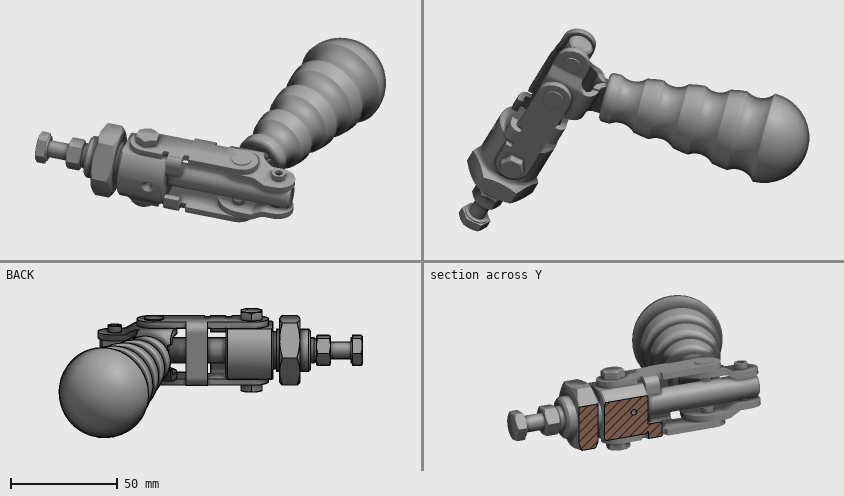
import cadquery as cq
import math

roll_angle = -11.7
handle_angle = 15.0

diagonal = math.sqrt(0.5)

spindle_head_end = 4.6
washer_face_end = 5.3
jam_nut_start = 15.0
jam_nut_end = 21.7
neck_start = 24.5
lock_nut_start = 29.3
lock_nut_end = 39.2
thread_end = 40.5
body_start = 42.2
body_end = 64.3
plunger_end = 123.7

small_hex = 13.0
lock_nut_hex = 30.0
hex_face_ratio = 0.98
spindle_radius = 4.0
plunger_radius = 6.0
thread_radius = 10.0
undercut_radius = 8.9
body_radius = 15.0
rod_chamfer = 1.0
body_chamfer = 0.7

sheet = 3.0
plate_inner = 12.2
plate_outer = plate_inner + sheet
plate_half_width = 8.0
front_pivot = 52.3
rear_pivot = 98.2
bend_inner = 1.5
bend_outer = bend_inner + sheet
bend_height = plate_outer - bend_outer
bridge_start, bridge_end = 72.9, 83.2
bridge_outer = 12.9
tab_start, tab_end = 64.5, 71.5
tab_outer = 11.0
tab_tip = 7.1
relief_width = 3.0
relief_floor = -5.0
relief_fillet = 0.9

link_pivot = 116.7
lever_outer = plate_inner
lever_inner = lever_outer - sheet
lever_drop = 3.1
jog_start, jog_end = 106.4, 111.8
jog_upper_bend = 5.9
jog_lower_bend = 2.7
nose_radius = 12.6
crotch_radius = 5.0
strap_left = -12.0
strap_right = 4.0
strap_shift = 1.3
strap_end = 31.5
curl_start = 11.7
curl_radius = lever_outer / 2

bolt_hex = 10.0
bolt_head_height = 4.0
rivet_radius = 4.6
rivet_head = 0.6
inner_rivet_radius = 2.9
inner_rivet_end = 6.7
link_head_radius = 4.0
link_pin_radius = 3.1
link_pin_top = 12.0
link_pin_bore = 2.0
link_pin_bore_depth = 2.9
oil_hole_x = 57.2
oil_hole_radius = 3.0
oil_hole_drill_radius = 1.3
oil_cone_depth = 1.7
oil_hole_depth = 5.7

grip_offset = -2.7
grip_base = 22.5
grip_base_radius = 9.5
grip_land = 3.6
ring_pitch = 19.7
ring_growth = 2.5
ring_count = 4
first_crest, first_crest_radius = 28.0, 11.9
valley_gap, valley_radius_drop = 5.0, 1.6
band_gap, band_radius_gain = 11.9, 1.3
band_bulge = 0.21
dome_radius = 21.5
dome_centre = 100.1
ridge_fillet = 0.7


def rod(start, end, radius):
    """Cylinder on the X axis."""
    return cq.Workplane("YZ", origin=(start, 0, 0)).circle(radius).extrude(end - start)


def pin(x, bottom, top, radius):
    """Cylinder parallel to Z, centred over the plunger axis."""
    return cq.Workplane("XY", origin=(x, 0, bottom)).circle(radius).extrude(top - bottom)


def chamfered_hex(across_flats, height, both_ends):
    """Hexagonal prism along Z with corners on the Y axis and conically trimmed ends."""
    corner = across_flats / math.sqrt(3)
    face = hex_face_ratio * across_flats / 2
    trim = (corner - face) / math.sqrt(3)
    cone = cq.Workplane("XZ").polyline([
        (0, 0), (corner, 0), (corner, height - trim), (face, height), (0, height),
    ]).close().revolve(360, (0, 0, 0), (0, 1, 0))
    prism = cq.Workplane("XY").polygon(6, 2 * corner).extrude(height)
    hexagon = prism.rotate((0, 0, 0), (0, 0, 1), 90).intersect(cone)
    if both_ends:
        hexagon = hexagon.intersect(hexagon.mirror("XY").translate((0, 0, height)))
    return hexagon


def axial_hex(start, end, across_flats, both_ends=True):
    """Chamfered hexagon on the X axis with corners on the Y axis."""
    hexagon = chamfered_hex(across_flats, end - start, both_ends)
    return hexagon.rotate((0, 0, 0), (0, 1, 0), -90).translate((end, 0, 0))


def plunger_and_body():
    """Spindle, nuts, threaded neck, flatted body and plunger rod."""
    parts = rod(spindle_head_end, washer_face_end, plunger_radius)
    parts = parts.union(axial_hex(0, spindle_head_end, small_hex, both_ends=False))
    parts = parts.union(rod(washer_face_end, jam_nut_end, spindle_radius))
    parts = parts.union(axial_hex(jam_nut_start, jam_nut_end, small_hex))
    plunger = rod(jam_nut_end, plunger_end, plunger_radius).faces("<X or >X").chamfer(rod_chamfer)
    parts = parts.union(plunger)
    parts = parts.union(rod(neck_start, thread_end, thread_radius).faces("<X").chamfer(rod_chamfer))
    parts = parts.union(rod(thread_end, body_start, undercut_radius))
    parts = parts.union(axial_hex(lock_nut_start, lock_nut_end, lock_nut_hex))
    body = rod(body_start, body_end, body_radius).faces("<X or >X").chamfer(body_chamfer)
    flats = cq.Workplane("XY").box(2 * body_end, 2 * body_radius, 2 * plate_inner)
    return parts.union(body.intersect(flats)).cut(oil_hole())


def oil_hole():
    """Countersunk hole entering the body from the -Y side."""
    return cq.Workplane("XY", origin=(oil_hole_x, -body_radius, 0)).polyline([
        (0, 0), (oil_hole_radius, 0), (oil_hole_drill_radius, oil_cone_depth),
        (oil_hole_drill_radius, oil_hole_depth), (0, oil_hole_depth),
    ]).close().revolve(360, (0, 0, 0), (0, 1, 0))


def flange(start, end, outer_face, tip):
    """Strip that bends down from the +Z plate; outer_face is its Y, tip its lower edge."""
    side = math.copysign(1, outer_face)
    bend_y = outer_face - side * bend_outer
    inner_face = outer_face - side * sheet

    def on_bend(radius):
        return bend_y + side * radius * diagonal, bend_height + radius * diagonal

    profile = (
        cq.Workplane("YZ", origin=(start, 0, 0))
        .moveTo(0, plate_inner)
        .lineTo(bend_y, plate_inner)
        .threePointArc(on_bend(bend_inner), (inner_face, bend_height))
        .lineTo(inner_face, tip)
        .lineTo(outer_face, tip)
        .lineTo(outer_face, bend_height)
        .threePointArc(on_bend(bend_outer), (bend_y, plate_outer))
        .lineTo(0, plate_outer)
        .close()
    )
    return profile.extrude(end - start)


def upper_plate():
    """Side plate on the +Z side with its front tab and its half of the rear bridge."""
    length = rear_pivot - front_pivot
    plate = (
        cq.Workplane("XY", origin=((front_pivot + rear_pivot) / 2, 0, plate_inner))
        .slot2D(length + 2 * plate_half_width, 2 * plate_half_width)
        .extrude(sheet)
    )
    relief_depth = relief_floor + plate_half_width
    for start in (tab_start - relief_width, tab_end):
        relief = cq.Workplane("XY").box(relief_width, 2 * relief_depth, sheet, centered=(False, True, False))
        relief = relief.edges("|Z and >Y").fillet(relief_fillet)
        plate = plate.cut(relief.translate((start, -plate_half_width, plate_inner)))
    plate = plate.union(flange(tab_start, tab_end, -tab_outer, tab_tip))
    return plate.union(flange(bridge_start, bridge_end, bridge_outer, 0))


def handle_point(across, along):
    """XY point given in the tilted handle frame, whose origin is the rear pivot."""
    tilt = math.radians(handle_angle)
    x = rear_pivot + across * math.cos(tilt) + along * math.sin(tilt)
    return x, along * math.cos(tilt) - across * math.sin(tilt)


def edge_x(across, y):
    """X where a strap edge at the given offset crosses the given Y."""
    tilt = math.radians(handle_angle)
    return rear_pivot + across / math.cos(tilt) + y * math.tan(tilt)


def lever_outline():
    """Plan shape of a lever: link arm along X and strap along the handle."""
    low = -plate_half_width
    high = plate_half_width
    nose = (edge_x(strap_left, low), low)
    crotch = (edge_x(strap_right, high), high)
    outline = (
        cq.Workplane("XY")
        .moveTo(*nose)
        .lineTo(link_pivot, low)
        .threePointArc((link_pivot + plate_half_width, 0), (link_pivot, high))
        .lineTo(*crotch)
        .lineTo(*handle_point(strap_right, strap_end))
        .lineTo(*handle_point(strap_left, strap_end))
        .close()
        .extrude(plate_outer)
    )
    for corner, radius in ((nose, nose_radius), (crotch, crotch_radius)):
        nearest = cq.selectors.NearestToPointSelector((*corner, plate_outer / 2))
        outline = outline.edges(nearest).fillet(radius)
    return outline


def upper_lever():
    """Lever on the +Z side: stepped towards the plunger at one end, curled to Z = 0 at the strap."""
    small = curl_radius - sheet
    large = curl_radius
    wall = curl_start + large
    curl_stop = wall + small
    convex = (curl_start, curl_radius)
    concave = (curl_stop, curl_radius)

    def on_convex(radius):
        return convex[0] + radius * diagonal, convex[1] + radius * diagonal

    def on_concave(radius):
        return concave[0] - radius * diagonal, concave[1] - radius * diagonal

    x_low, x_high = rear_pivot - 2 * nose_radius, link_pivot + 2 * plate_half_width
    curled = (
        cq.Workplane("YZ", origin=(x_low, 0, 0))
        .moveTo(-2 * plate_half_width, lever_outer)
        .lineTo(curl_start, lever_outer)
        .threePointArc(on_convex(large), (wall, curl_radius))
        .threePointArc(on_concave(small), (curl_stop, sheet))
        .lineTo(2 * strap_end, sheet)
        .lineTo(2 * strap_end, 0)
        .lineTo(curl_stop, 0)
        .threePointArc(on_concave(large), (wall - sheet, curl_radius))
        .threePointArc(on_convex(small), (curl_start, lever_inner))
        .lineTo(-2 * plate_half_width, lever_inner)
        .close()
        .extrude(x_high - x_low)
    )
    arm_y_span = curl_start + 2 * plate_half_width
    arm_length = x_high - rear_pivot
    arm_space = cq.Workplane("XY").box(arm_length, arm_y_span, plate_outer, centered=False)
    curled = curled.cut(arm_space.translate((rear_pivot, -2 * plate_half_width, 0)))
    lever = curled.union(stepped_arm(rear_pivot, x_high, arm_y_span)).intersect(lever_outline())
    strap = curled.intersect(lever_outline().translate((strap_shift, 0, 0)))
    space_width = 4 * link_pivot
    wall_plane = cq.Workplane("XY", origin=(0, 0, curl_radius))
    above_wall = wall_plane.rect(space_width, space_width).extrude(plate_outer)
    return lever.intersect(above_wall).union(strap.cut(above_wall))


def stepped_arm(start, end, y_span):
    """Strip along X that steps towards the plunger, with rounded bends."""
    low_outer = lever_outer - lever_drop
    low_inner = lever_inner - lever_drop
    arm = cq.Workplane("XZ", origin=(0, curl_start, 0)).polyline([
        (start, lever_outer), (jog_start, lever_outer), (jog_end, low_outer), (end, low_outer),
        (end, low_inner), (jog_end, low_inner), (jog_start, lever_inner), (start, lever_inner),
    ]).close().extrude(y_span)
    bends = (
        (jog_start, lever_outer, jog_upper_bend),
        (jog_start, lever_inner, jog_upper_bend - sheet),
        (jog_end, low_outer, jog_lower_bend),
        (jog_end, low_inner, jog_lower_bend + sheet),
    )
    for x, z, radius in bends:
        corner = cq.selectors.NearestToPointSelector((x, curl_start - y_span / 2, z))
        arm = arm.edges(corner).fillet(radius)
    return arm


def upper_fasteners():
    """Bolt head and pivot rivet on the +Z side."""
    bolt = chamfered_hex(bolt_hex, bolt_head_height, both_ends=False)
    parts = bolt.translate((front_pivot, 0, plate_outer))
    parts = parts.union(pin(rear_pivot, plate_inner, plate_outer + rivet_head, rivet_radius))
    return parts.union(pin(rear_pivot, inner_rivet_end, plate_outer, inner_rivet_radius))


def link_pin():
    """Pin through the plunger: hollow end on the +Z side, low head on the -Z side."""
    lever_face = lever_outer - lever_drop
    shank = pin(link_pivot, -lever_face, link_pin_top, link_pin_radius)
    bore = pin(link_pivot, link_pin_top - link_pin_bore_depth, link_pin_top, link_pin_bore)
    head = pin(link_pivot, -lever_face - rivet_head, -lever_face, link_head_radius)
    return shank.cut(bore).union(head)


def grip():
    """Ribbed handle grip revolved about the handle axis, ending in a hemisphere."""
    land = first_crest - grip_land
    corner_mid = (
        grip_base_radius + diagonal * (first_crest_radius - grip_base_radius),
        land - diagonal * (land - grip_base),
    )
    profile = (
        cq.Workplane("XY")
        .moveTo(0, grip_base)
        .lineTo(grip_base_radius, grip_base)
        .threePointArc(corner_mid, (first_crest_radius, land))
        .lineTo(first_crest_radius, first_crest)
    )
    for ring in range(ring_count):
        crest = first_crest + ring * ring_pitch
        crest_radius = first_crest_radius + ring * ring_growth
        valley = (crest_radius - valley_radius_drop, crest + valley_gap)
        band = crest + band_gap
        band_radius = crest_radius + band_radius_gain
        if ring == ring_count - 1:
            band, band_radius = dome_centre, dome_radius
        profile = profile.threePointArc(valley, (band_radius, band))
        if ring < ring_count - 1:
            next_radius = crest_radius + ring_growth
            middle = ((band_radius + next_radius) / 2 + band_bulge, (band + crest + ring_pitch) / 2)
            profile = profile.threePointArc(middle, (next_radius, crest + ring_pitch))
    dome_mid = dome_radius * diagonal
    dome_tip = (0, dome_centre + dome_radius)
    profile = profile.threePointArc((dome_mid, dome_centre + dome_mid), dome_tip)
    solid = profile.close().revolve(360, (0, 0, 0), (0, 1, 0))
    ridges = cq.selectors.BoxSelector(
        (-dome_radius, first_crest - ridge_fillet, -dome_radius),
        (2 * dome_radius, dome_centre + ridge_fillet, dome_radius),
    )
    solid = solid.edges("%CIRCLE").edges(ridges).fillet(ridge_fillet)
    solid = solid.rotate((0, 0, 0), (0, 0, 1), -handle_angle)
    return solid.translate((*handle_point(grip_offset, 0), 0))


result = plunger_and_body()
for upper in (upper_plate(), upper_lever(), upper_fasteners()):
    result = result.union(upper).union(upper.mirror("XY"))
result = result.union(link_pin()).union(grip()).rotate((0, 0, 0), (1, 0, 0), roll_angle)